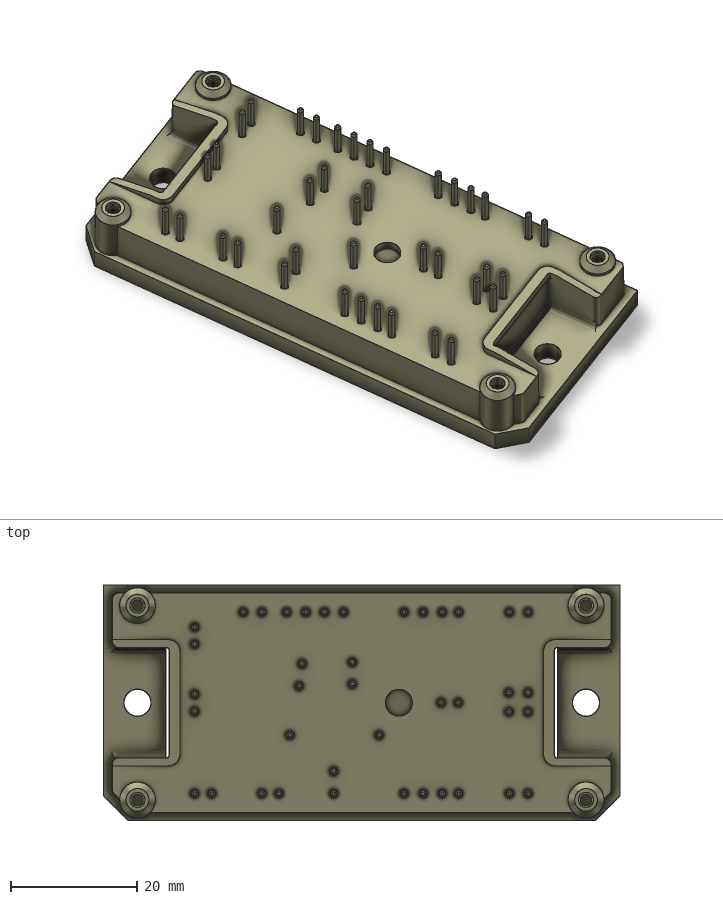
import cadquery as cq
import math

END_SIDES = (-1, 1)

LENGTH = 82.0
WIDTH = 37.4
BASE_TOP = 3.5
BASE_CHAMFER = 3.9

HOUSING_LENGTH = 79.4
HOUSING_WIDTH = 35.0
HOUSING_DRAFT = 1.0
HOUSING_TOP = 10.4
HOUSING_CHAMFER = 3.3
HOUSING_CORNER_RADIUS = 1.0

RECESS_HALF_WIDTH = 8.8
RECESS_WALL_X = 30.6
RECESS_CORNER_RADIUS = 0.5
RECESS_MOUTH_RADIUS = 1.0
FLOOR_FILLET_RADIUS = 1.1
FLOOR_FILLET_ROOT = 0.4
SLOT_WIDTH = 0.5
RIM_TOP = 11.65
RIM_HALF_WIDTH = 10.0
RIM_BACK_X = 28.9
RIM_CORNER_RADIUS = 1.8
RIM_SLOPE_START_X = 32.0

PANEL_BOTTOM = 4.7
PANEL_TOP = 10.2
PANEL_DEPTH = 0.1

MOUNT_X = 35.6
HOLE_DIAMETER = 4.3
BLIND_HOLE_X = 5.9
BLIND_HOLE_DEPTH = 1.6

BOSS_Y = 15.4
BOSS_DIAMETER = 5.8
BOSS_DRAFT = 0.6
BOSS_SHOULDER = 10.9
BOSS_TOP = 11.8
BOSS_TOP_DIAMETER = 3.6
BOSS_BORE_DIAMETER = 2.4
BOSS_BORE_DEPTH = 0.65
BOSS_PILOT_DIAMETER = 1.8
BOSS_PILOT_DEPTH = 4.1

PIN_TOP = 16.2
PIN_DIAMETER = 1.0
PIN_TIP_DIAMETER = 0.5
PIN_TIP_HEIGHT = 0.4
PIN_CLEARANCE_DIAMETER = 1.2
PIN_CLEARANCE_DEPTH = 0.4
PIN_ROOT = HOUSING_TOP - PIN_CLEARANCE_DEPTH
BACK_PIN_Y = 14.35
FRONT_PIN_Y = -14.4
BACK_PINS_X = [-18.8, -15.8, -11.9, -8.85, -5.9, -2.9, 6.7, 9.75, 12.8, 15.4, 23.45, 26.4]
FRONT_PINS_X = [-26.5, -23.8, -15.8, -13.1, -4.4, 6.7, 9.75, 12.8, 15.4, 23.45, 26.4]
INNER_PINS = [
    (-26.5, 12.0), (-26.5, 9.3), (-26.5, 1.3), (-26.5, -1.4),
    (-9.4, 6.15), (-9.9, 2.6), (-11.4, -5.2), (-4.4, -10.9),
    (-1.5, 6.4), (-1.5, 2.95), (2.8, -5.2),
    (12.6, 0.0), (15.3, 0.0),
    (23.4, 1.55), (26.4, 1.55), (23.4, -1.5), (26.4, -1.5),
]
PINS = (
    [(x, BACK_PIN_Y) for x in BACK_PINS_X]
    + [(x, FRONT_PIN_Y) for x in FRONT_PINS_X]
    + INNER_PINS
)
BOSS_POINTS = [(x * MOUNT_X, y * BOSS_Y) for x in END_SIDES for y in (-1, 1)]


def box(x_min, x_max, y_min, y_max, z_min, z_max):
    """Block between the given limits."""
    size = (x_max - x_min, y_max - y_min, z_max - z_min)
    return cq.Workplane("XY").box(*size, centered=False).translate((x_min, y_min, z_min))


def cylinders(points, diameter, z_min, z_max, draft=0):
    """Upright cylinders at the given points, narrowing upwards by the draft angle."""
    plane = cq.Workplane("XY", origin=(0, 0, z_min))
    return plane.pushPoints(points).circle(diameter / 2).extrude(z_max - z_min, taper=draft)


def both_ends(shape):
    """The shape of the +X end together with its mirror image at the -X end."""
    return shape.union(shape.mirror("YZ"))


def block(length, width, chamfer, z_min, z_max, draft=0):
    """Block with its two front corners cut off, narrowing upwards by the draft angle."""
    half_x = length / 2
    half_y = width / 2
    outline = [
        (-half_x, half_y),
        (-half_x, chamfer - half_y),
        (chamfer - half_x, -half_y),
        (half_x - chamfer, -half_y),
        (half_x, chamfer - half_y),
        (half_x, half_y),
    ]
    plane = cq.Workplane("XY", origin=(0, 0, z_min))
    return plane.polyline(outline).close().extrude(z_max - z_min, taper=draft)


def draft_inset(z):
    """How far the drafted housing walls lean inwards at height z."""
    return (z - BASE_TOP) * math.tan(math.radians(HOUSING_DRAFT))


def make_rim():
    """Raised U-shaped rim of the +X recess; its two arms slope down to the housing top."""
    end_x = HOUSING_LENGTH / 2 - draft_inset(HOUSING_TOP)
    rim = box(RIM_BACK_X, end_x, -RIM_HALF_WIDTH, RIM_HALF_WIDTH, HOUSING_TOP, RIM_TOP)
    rim = rim.edges("|Z and <X").fillet(RIM_CORNER_RADIUS)
    above_slope = (
        cq.Workplane("XZ")
        .moveTo(RIM_SLOPE_START_X, RIM_TOP)
        .lineTo(end_x, HOUSING_TOP)
        .lineTo(end_x, RIM_TOP)
        .close()
        .extrude(RIM_HALF_WIDTH, both=True)
    )
    return rim.cut(above_slope)


def make_recess():
    """Space cut out of the +X end of the housing, down to the base plate."""
    recess = box(RECESS_WALL_X, LENGTH / 2, -RECESS_HALF_WIDTH, RECESS_HALF_WIDTH, BASE_TOP, RIM_TOP)
    return recess.edges("|Z and <X").fillet(RECESS_CORNER_RADIUS)


def make_floor_fillet():
    """Concave fillet along the +Y foot of the +X recess, bending around the mouth corner.

    Its root reaches into the housing wall so that the two join cleanly.
    """
    radius = FLOOR_FILLET_RADIUS
    bend_x = HOUSING_LENGTH / 2 - RECESS_MOUTH_RADIUS
    bend_y = RECESS_HALF_WIDTH + RECESS_MOUTH_RADIUS
    bend_angle = math.degrees(math.asin(RECESS_MOUTH_RADIUS / (RECESS_MOUTH_RADIUS + radius)))
    diagonal = radius * (1 - math.sqrt(0.5))

    def profile(x):
        return (
            cq.Workplane("YZ", origin=(x, 0, 0))
            .moveTo(RECESS_HALF_WIDTH + FLOOR_FILLET_ROOT, BASE_TOP)
            .lineTo(RECESS_HALF_WIDTH + FLOOR_FILLET_ROOT, BASE_TOP + radius)
            .lineTo(RECESS_HALF_WIDTH, BASE_TOP + radius)
            .threePointArc(
                (RECESS_HALF_WIDTH - diagonal, BASE_TOP + diagonal),
                (RECESS_HALF_WIDTH - radius, BASE_TOP),
            )
            .close()
        )

    straight = profile(RECESS_WALL_X).extrude(bend_x - RECESS_WALL_X)
    bend = profile(bend_x).revolve(bend_angle, (bend_y, 0, 0), (bend_y, 1, 0))
    return straight.union(bend)


def make_housing():
    """Housing with an end recess, rim and floor fillets at each end."""
    housing = block(
        HOUSING_LENGTH, HOUSING_WIDTH, HOUSING_CHAMFER, BASE_TOP, HOUSING_TOP, HOUSING_DRAFT
    )
    housing = housing.edges("not #Z").fillet(HOUSING_CORNER_RADIUS)
    housing = housing.union(both_ends(make_rim())).cut(both_ends(make_recess()))
    mid_z = (BASE_TOP + HOUSING_TOP) / 2
    mouth_x = HOUSING_LENGTH / 2 - draft_inset(mid_z)
    for side in END_SIDES:
        for y in (-RECESS_HALF_WIDTH, RECESS_HALF_WIDTH):
            edge = cq.selectors.NearestToPointSelector((side * mouth_x, y, mid_z))
            housing = housing.edges("not #Z").edges(edge).fillet(RECESS_MOUTH_RADIUS)
    fillet = make_floor_fillet()
    return housing.union(both_ends(fillet.union(fillet.mirror("XZ"))))


def make_bosses():
    """Corner bosses with slightly drafted shanks and conical heads."""
    shoulder_radius = BOSS_DIAMETER / 2 - (BOSS_SHOULDER - BASE_TOP) * math.tan(math.radians(BOSS_DRAFT))
    cone_height = BOSS_TOP - BOSS_SHOULDER
    cone_angle = math.degrees(math.atan((shoulder_radius - BOSS_TOP_DIAMETER / 2) / cone_height))
    shanks = cylinders(BOSS_POINTS, BOSS_DIAMETER, BASE_TOP, BOSS_SHOULDER, BOSS_DRAFT)
    return shanks.union(cylinders(BOSS_POINTS, 2 * shoulder_radius, BOSS_SHOULDER, BOSS_TOP, cone_angle))


def make_pins():
    """Contact pins with conical tips, rooted at the bottom of their clearance holes."""
    tip_step = (PIN_DIAMETER - PIN_TIP_DIAMETER) / 2
    pins = cylinders(PINS, PIN_DIAMETER, PIN_ROOT, PIN_TOP)
    return pins.faces(">Z").chamfer(PIN_TIP_HEIGHT, tip_step)


def make_slot():
    """Narrow slot through the base plate along the back wall of the +X recess."""
    slot_end_x = RECESS_WALL_X + SLOT_WIDTH
    return box(RECESS_WALL_X, slot_end_x, -RECESS_HALF_WIDTH, RECESS_HALF_WIDTH, 0, HOUSING_TOP)


def make_panel():
    """Shallow sunk panel in the back wall of the +X recess, between its corner fillets."""
    half_width = RECESS_HALF_WIDTH - RECESS_CORNER_RADIUS
    back_x = RECESS_WALL_X - PANEL_DEPTH
    return box(back_x, RECESS_WALL_X, -half_width, half_width, PANEL_BOTTOM, PANEL_TOP)


result = block(LENGTH, WIDTH, BASE_CHAMFER, 0, BASE_TOP)
result = result.union(make_housing()).union(make_bosses())

mount_points = [(side * MOUNT_X, 0) for side in END_SIDES]
result = result.cut(cylinders(mount_points, HOLE_DIAMETER, 0, BASE_TOP))
blind_hole_floor = HOUSING_TOP - BLIND_HOLE_DEPTH
result = result.cut(cylinders([(BLIND_HOLE_X, 0)], HOLE_DIAMETER, blind_hole_floor, HOUSING_TOP))
result = result.cut(both_ends(make_slot())).cut(both_ends(make_panel()))
result = result.cut(cylinders(BOSS_POINTS, BOSS_BORE_DIAMETER, BOSS_TOP - BOSS_BORE_DEPTH, BOSS_TOP))
result = result.cut(cylinders(BOSS_POINTS, BOSS_PILOT_DIAMETER, BOSS_TOP - BOSS_PILOT_DEPTH, BOSS_TOP))

result = result.cut(cylinders(PINS, PIN_CLEARANCE_DIAMETER, PIN_ROOT, HOUSING_TOP))
result = result.union(make_pins())